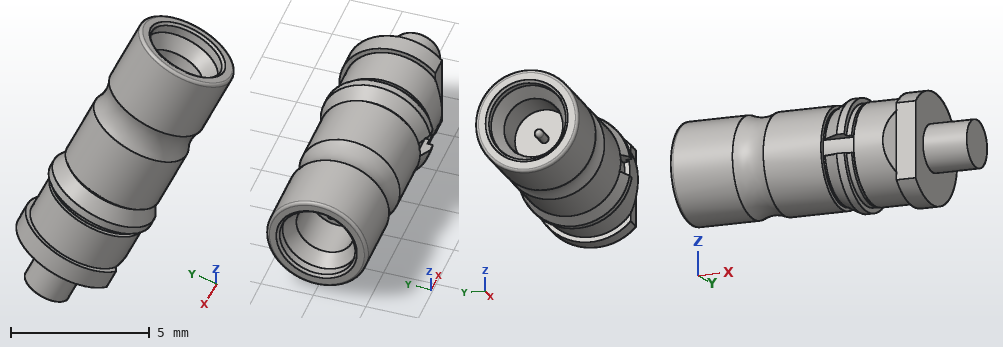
import cadquery as cq
import math

TOTAL_LENGTH = 11.3

BARREL_RADIUS = 1.92
FLANGE_RADIUS = 4.21 / 2
TAIL_RADIUS = 1.8 / 2
FLANGE_START = 8.81
FLANGE_END = 9.57
NOSE_FILLET = 0.11

WAIST_START = 2.49
WAIST_END = 3.71
WAIST_RADIUS = 1.79

GROOVE_START = 5.99
GROOVE_END = 7.29
GROOVE_RADIUS = 1.73

FLAT_OFFSET = 1.55

MOUTH_RADIUS = 1.54
ENTRY_RADIUS = 1.44
BORE_RADIUS = 1.1
MOUTH_DEPTH = 0.09
ENTRY_DEPTH = 0.42
CONE_DEPTH = 0.96
BORE_DEPTH = 2.49
CONTACT_RADIUS = 0.16
CONTACT_TIP = 1.58

RING_START = 6.02
RING_TAPER_START = 6.09
RING_TAPER_END = 6.68
RING_STEP = 6.98
RING_END = 7.19
RING_FRONT_RADIUS = 1.8
RING_RADIUS = 2.1
RING_REAR_RADIUS = 1.9
RING_SLOT_ANGLE = 19.4


def revolve_about_x(profile):
    """Turn a closed (x, radius) profile about the X axis."""
    return profile.close().revolve(360, (0, 0, 0), (1, 0, 0))


def make_outer_shape():
    waist_middle = (WAIST_START + WAIST_END) / 2
    fillet_depth = NOSE_FILLET * (1 - math.sqrt(0.5))
    profile = (
        cq.Workplane("XY")
        .lineTo(0, BARREL_RADIUS - NOSE_FILLET)
        .threePointArc((fillet_depth, BARREL_RADIUS - fillet_depth), (NOSE_FILLET, BARREL_RADIUS))
        .lineTo(WAIST_START, BARREL_RADIUS)
        .threePointArc((waist_middle, WAIST_RADIUS), (WAIST_END, BARREL_RADIUS))
        .lineTo(GROOVE_START, BARREL_RADIUS)
        .lineTo(GROOVE_START, GROOVE_RADIUS)
        .lineTo(GROOVE_END, GROOVE_RADIUS)
        .lineTo(GROOVE_END, BARREL_RADIUS)
        .lineTo(FLANGE_START, BARREL_RADIUS)
        .lineTo(FLANGE_START, FLANGE_RADIUS)
        .lineTo(FLANGE_END, FLANGE_RADIUS)
        .lineTo(FLANGE_END, TAIL_RADIUS)
        .lineTo(TOTAL_LENGTH, TAIL_RADIUS)
        .lineTo(TOTAL_LENGTH, 0)
    )
    return revolve_about_x(profile)


def make_bore():
    profile = (
        cq.Workplane("XY")
        .lineTo(0, MOUTH_RADIUS)
        .lineTo(MOUTH_DEPTH, ENTRY_RADIUS)
        .lineTo(ENTRY_DEPTH, ENTRY_RADIUS)
        .lineTo(CONE_DEPTH, BORE_RADIUS)
        .lineTo(BORE_DEPTH, BORE_RADIUS)
        .lineTo(BORE_DEPTH, 0)
    )
    return revolve_about_x(profile)


def make_contact():
    """Round-tipped centre contact, rooted at the bore floor."""
    tip_center = CONTACT_TIP + CONTACT_RADIUS
    diagonal = CONTACT_RADIUS * math.sqrt(0.5)
    profile = (
        cq.Workplane("XY")
        .moveTo(CONTACT_TIP, 0)
        .threePointArc((tip_center - diagonal, diagonal), (tip_center, CONTACT_RADIUS))
        .lineTo(BORE_DEPTH, CONTACT_RADIUS)
        .lineTo(BORE_DEPTH, 0)
    )
    return revolve_about_x(profile)


def make_flat_cut():
    runout = FLANGE_RADIUS - FLAT_OFFSET
    return (
        cq.Workplane("XY")
        .moveTo(FLANGE_START, -FLAT_OFFSET)
        .lineTo(FLANGE_END, -FLAT_OFFSET)
        .lineTo(FLANGE_END, -FLANGE_RADIUS)
        .lineTo(FLANGE_START - runout, -FLANGE_RADIUS)
        .close()
        .extrude(FLANGE_RADIUS, both=True)
    )


def make_housing():
    hollow = make_outer_shape().cut(make_bore()).cut(make_flat_cut())
    return hollow.union(make_contact())


def make_snap_ring():
    profile = (
        cq.Workplane("XY")
        .moveTo(RING_START, GROOVE_RADIUS)
        .lineTo(RING_START, RING_FRONT_RADIUS)
        .lineTo(RING_TAPER_START, RING_FRONT_RADIUS)
        .lineTo(RING_TAPER_END, RING_RADIUS)
        .lineTo(RING_STEP, RING_RADIUS)
        .lineTo(RING_STEP, RING_REAR_RADIUS)
        .lineTo(RING_END, RING_REAR_RADIUS)
        .lineTo(RING_END, GROOVE_RADIUS)
    )
    return revolve_about_x(profile).cut(make_ring_slot())


def make_ring_slot():
    """Radial-walled wedge that splits the ring on its -Y side."""
    reach = 2 * RING_RADIUS
    half_width = reach * math.tan(math.radians(RING_SLOT_ANGLE / 2))
    return (
        cq.Workplane("YZ", origin=(RING_START, 0, 0))
        .lineTo(-reach, half_width)
        .lineTo(-reach, -half_width)
        .close()
        .extrude(RING_END - RING_START)
    )


housing = make_housing()
snap_ring = make_snap_ring()

result = cq.Compound.makeCompound([housing.solids().val(), snap_ring.solids().val()])